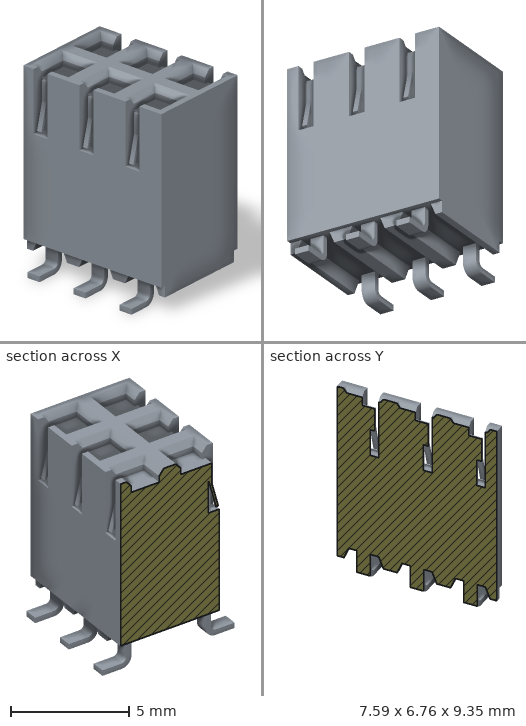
import cadquery as cq
import math

columns = 3
rows = 2
total_height = 9.35
total_depth = 6.76
body_length = 7.59
pitch = body_length / columns
body_depth = rows * pitch
body_bottom = 1.23
body_height = total_height - body_bottom

mouth_size = 1.91
socket_size = 1.41
lead_in_depth = 0.31
socket_depth = 0.61
socket_wall = (pitch - socket_size) / 2

slot_width = 0.77
slot_height = 3.04
slot_bottom = total_height - slot_height
slot_depth = 0.38
gap_width = 0.16

tongue_width = 0.23
tongue_thickness = 0.13
tongue_top = total_height - 1.59
tongue_tip = slot_bottom + 0.18
tongue_setback = 0.05

rib_height = 0.54
rib_inset = 0.24
rib_root_width = 1.12
rib_tip_width = 0.66

lead_width = 0.66
lead_thickness = 0.27
lead_inner_radius = 0.23
lead_outer_radius = lead_inner_radius + lead_thickness
lead_face = 2.17
lead_embed = 0.09

column_centers = [(i - (columns - 1) / 2) * pitch for i in range(columns)]


def box(x, y, z, length, depth, height):
    """Box whose lowest corner is at (x, y, z)."""
    return cq.Workplane("XY").box(length, depth, height, centered=False).translate((x, y, z))


def both_rows(shape):
    """Return a front-row shape together with its copy turned half a turn into the back row."""
    return shape.union(shape.rotate((0, 0, 0), (0, 0, 1), 180))


def socket_cutter(x):
    """Square blind hole with a tapered lead-in, in the front row."""
    hole = (
        cq.Workplane("XY", origin=(x, -pitch / 2, total_height - socket_depth))
        .rect(socket_size, socket_size)
        .extrude(socket_depth)
    )
    lead_in = (
        cq.Workplane("XY", origin=(x, -pitch / 2, total_height))
        .rect(mouth_size, mouth_size)
        .workplane(offset=-lead_in_depth)
        .rect(socket_size, socket_size)
        .loft(ruled=True)
    )
    return hole.union(lead_in)


def tongue(left):
    """Spring tongue leaning outward, with its tip cut square to its slope."""
    front = -body_depth / 2
    root_y = front + slot_depth
    tip_y = front + tongue_setback
    back_y = front + socket_wall
    slope = (tongue_top - tongue_tip) / (root_y - tip_y)
    lean = math.atan(slope)
    under_y = tip_y + tongue_thickness * math.sin(lean)
    under_z = tongue_tip - tongue_thickness * math.cos(lean)
    under_root_z = under_z + slope * (back_y - under_y)
    return (
        cq.Workplane("YZ", origin=(left, 0, 0))
        .moveTo(tip_y, tongue_tip)
        .lineTo(root_y, tongue_top)
        .lineTo(root_y, total_height)
        .lineTo(back_y, total_height)
        .lineTo(back_y, under_root_z)
        .lineTo(under_y, under_z)
        .close()
        .extrude(tongue_width)
    )


def slot_cutter(x):
    """Wall slot with a deeper pocket beside and under the spring tongue."""
    left = x - socket_size / 2
    front = -body_depth / 2
    pocket_width = gap_width + tongue_width
    slot = box(left, front, slot_bottom, slot_width, slot_depth, slot_height)
    pocket = box(left, front, slot_bottom, pocket_width, socket_wall, slot_height)
    wall_opening = box(left, front, total_height - socket_depth, slot_width, socket_wall, socket_depth)
    return slot.union(pocket).cut(tongue(left + gap_width)).union(wall_opening)


def standoff_rib(x):
    """Tapered rib running along Y below the body."""
    return (
        cq.Workplane("XZ", origin=(x, body_depth / 2 - rib_inset, body_bottom))
        .moveTo(-rib_root_width / 2, 0)
        .lineTo(rib_root_width / 2, 0)
        .lineTo(rib_tip_width / 2, -rib_height)
        .lineTo(-rib_tip_width / 2, -rib_height)
        .close()
        .extrude(body_depth - 2 * rib_inset)
    )


def lead(x):
    """Front-row lead: drops from the body and bends outward into a flat foot."""
    tip = -total_depth / 2
    outer = -lead_face
    inner = outer + lead_thickness
    bend = outer - lead_inner_radius
    top = body_bottom + lead_embed
    return (
        cq.Workplane("YZ", origin=(x - lead_width / 2, 0, 0))
        .moveTo(tip, 0)
        .lineTo(bend, 0)
        .radiusArc((inner, lead_outer_radius), -lead_outer_radius)
        .lineTo(inner, top)
        .lineTo(outer, top)
        .lineTo(outer, lead_outer_radius)
        .radiusArc((bend, lead_thickness), lead_inner_radius)
        .lineTo(tip, lead_thickness)
        .close()
        .extrude(lead_width)
    )


body = box(-body_length / 2, -body_depth / 2, body_bottom, body_length, body_depth, body_height)
for center in column_centers:
    body = body.cut(both_rows(socket_cutter(center)))
    body = body.cut(both_rows(slot_cutter(center)))

ribs = standoff_rib(-body_length / 2)
for center in column_centers:
    ribs = ribs.union(standoff_rib(center + pitch / 2))
rib_envelope = box(-body_length / 2, -body_depth / 2, 0, body_length, body_depth, total_height)
result = body.union(ribs.intersect(rib_envelope))

for center in column_centers:
    result = result.union(both_rows(lead(center)))